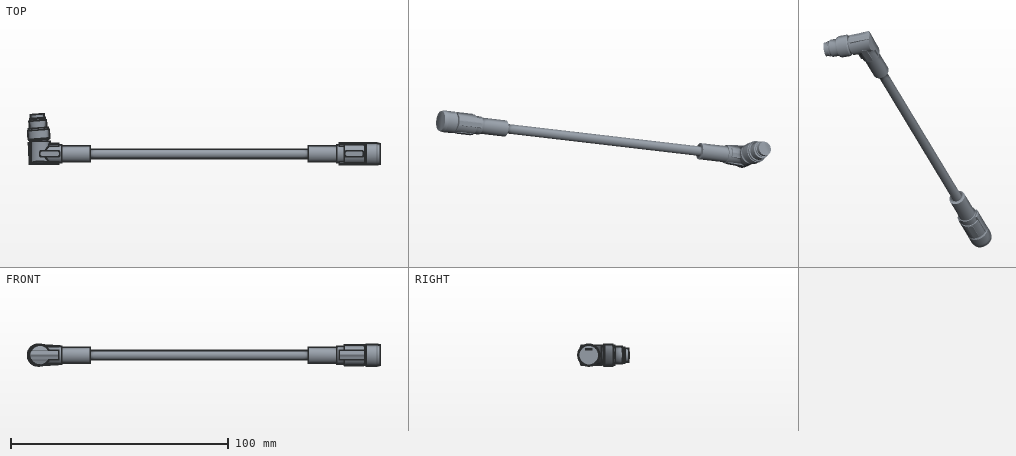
import cadquery as cq


cable_radius = 2.2
sleeve_radius = 3.75
sleeve_length = 13.2
collar_radius = 4.2
overall_reach = 5.0
neck_radius = 3.9
nut_chamfer = 0.5

rib_half_width = 2.2
crest_half_width = 0.2
pad_half_width = 1.35
pad_corner = 0.5

body_radius = 4.65
body_offset = 0.35
body_top = 5.8
plug_base = 6.0
underside_side_drop = 3.4
back_rib_top = 5.0
back_rib_top_height = 4.95
back_rib_bottom_height = 4.5
back_rib_flank = 0.5
angled_rib_end = 8.9
angled_rib_height = 4.8
angled_rib_edge_height = 4.3
angled_pad_start = 0.3
angled_pad_end = 9.4
angled_pad_heights = (4.8, 4.25)
collar_end = 10.3
upright_angle = 90
plug_tilt = 4.4
plug_root_depth = 1.0
plug_nut_start = 0.5
plug_nut_end = 5.0
plug_flange_radius = 4.6
plug_flange_end = 5.9
plug_shoulder_radius = 4.0
plug_shoulder_end = 9.3
plug_tip_radius = 3.2
plug_bead_radius = 3.65
plug_bead_start = 10.1
plug_bead_end = 10.5
plug_tip_end = 12.3

socket_end = 156.95
socket_sleeve_start = 123.7
socket_collar_start = socket_sleeve_start + sleeve_length
socket_rib_start = 137.9
socket_rib_edge_height = 4.45
socket_body_start = 140.2
socket_body_radius = 4.7
socket_pad_start = 140.6
socket_pad_end = 149.1
socket_pad_height = 4.8
socket_body_end = 149.6
socket_nut_start = 150.0
socket_nut_taper_end = 155.3
socket_face = 156.9
socket_face_radius = 4.65
key_half_width = 1.3
key_bottom = 2.6
key_top = 3.0
key_depth = 1.0


def turned(stations):
    """Solid of revolution about the X axis through (position, radius) stations."""
    first = stations[0][0]
    last = stations[-1][0]
    outline = [(first, 0)] + stations + [(last, 0)]
    return cq.Workplane("XY").polyline(outline).close().revolve(360, (0, 0, 0), (1, 0, 0))


def rod(start, end, radius):
    return turned([(start, radius), (end, radius)])


def roof_outline(edge, crest):
    """Rib cross-section points (outward height, Z): two long edges and a narrow flat crest."""
    return [
        (0, -rib_half_width),
        (edge, -rib_half_width),
        (crest, -crest_half_width),
        (crest, crest_half_width),
        (edge, rib_half_width),
        (0, rib_half_width),
    ]


def grip_rib(start, end, edge, crest):
    """Roof-shaped rib along X on the +Y flank."""
    outline = roof_outline(edge, crest)
    return cq.Workplane("YZ").workplane(offset=start).polyline(outline).close().extrude(end - start)


def grip_rib_pair(start, end, edge, crest):
    rib = grip_rib(start, end, edge, crest)
    return rib.union(rib.mirror("XZ"))


def grip_pads(start, end, start_height, end_height):
    """Flat-topped pads on the +Z and -Z flanks; the top may slope along X."""
    outline = [
        (start, -start_height),
        (end, -end_height),
        (end, end_height),
        (start, start_height),
    ]
    block = cq.Workplane("XZ").polyline(outline).close().extrude(pad_half_width, both=True)
    return block.edges("|Z").chamfer(pad_corner)


def angled_body():
    """Upright round body with a faceted, roof-shaped underside."""
    upright = (
        cq.Workplane("XZ", origin=(body_offset, body_top, 0))
        .circle(body_radius)
        .extrude(body_top + angled_rib_height)
    )
    underside = [
        (body_top, -body_radius),
        (-underside_side_drop, -body_radius),
        (-angled_rib_edge_height, -rib_half_width),
        (-angled_rib_height, -crest_half_width),
        (-angled_rib_height, crest_half_width),
        (-angled_rib_edge_height, rib_half_width),
        (-underside_side_drop, body_radius),
        (body_top, body_radius),
    ]
    envelope = cq.Workplane("YZ").polyline(underside).close().extrude(2 * body_radius, both=True)
    return upright.union(back_rib()).intersect(envelope)


def back_rib():
    """Roof-shaped rib up the -X side of the body; its crest leans outward toward the top."""
    top = roof_outline(back_rib_top_height - back_rib_flank, back_rib_top_height)
    bottom = roof_outline(back_rib_bottom_height - back_rib_flank, back_rib_bottom_height)
    return (
        cq.Workplane("XZ", origin=(0, back_rib_top, 0))
        .polyline(top)
        .close()
        .workplane(offset=back_rib_top + angled_rib_height)
        .polyline(bottom)
        .close()
        .loft(ruled=True)
        .mirror("YZ")
    )


def plug():
    """Stepped male plug with a coupling nut, tilted on top of the angled body."""
    stations = [
        (-plug_root_depth, neck_radius),
        (plug_nut_start, neck_radius),
        (plug_nut_start, overall_reach - nut_chamfer),
        (plug_nut_start + nut_chamfer, overall_reach),
        (plug_nut_end, overall_reach),
        (plug_nut_end, plug_flange_radius),
        (plug_flange_end, plug_flange_radius),
        (plug_flange_end, plug_shoulder_radius),
        (plug_shoulder_end, plug_shoulder_radius),
        (plug_shoulder_end, plug_tip_radius),
        (plug_bead_start, plug_tip_radius),
        (plug_bead_start, plug_bead_radius),
        (plug_bead_end, plug_bead_radius),
        (plug_bead_end, plug_tip_radius),
        (plug_tip_end, plug_tip_radius),
    ]
    return (
        turned(stations)
        .rotate((0, 0, 0), (0, 0, 1), upright_angle + plug_tilt)
        .translate((0, plug_base, 0))
    )


def angled_end():
    end = angled_body().union(rod(0, collar_end, collar_radius))
    end = end.union(grip_rib_pair(0, angled_rib_end, angled_rib_edge_height, angled_rib_height))
    end = end.union(grip_pads(angled_pad_start, angled_pad_end, *angled_pad_heights))
    return end.union(plug())


def socket_grip():
    grip = turned([
        (socket_collar_start, collar_radius),
        (socket_body_start, collar_radius),
        (socket_body_start, socket_body_radius),
        (socket_body_end, socket_body_radius),
    ])
    ribs = grip_rib_pair(socket_rib_start, socket_body_end, socket_rib_edge_height, overall_reach)
    pads = grip_pads(socket_pad_start, socket_pad_end, socket_pad_height, socket_pad_height)
    return grip.union(ribs).union(pads)


def socket_nut():
    nut = turned([
        (socket_body_end, neck_radius),
        (socket_nut_start, neck_radius),
        (socket_nut_start, overall_reach - nut_chamfer),
        (socket_nut_start + nut_chamfer, overall_reach),
        (socket_nut_taper_end, overall_reach),
        (socket_face, socket_face_radius),
    ])
    key = (
        cq.Workplane("XY")
        .box(key_depth, 2 * key_half_width, key_top - key_bottom, centered=(False, True, False))
        .translate((socket_end - key_depth, 0, key_bottom))
    )
    return nut.union(key)


cable = rod(0, socket_collar_start, cable_radius)
angled_sleeve = rod(collar_end, collar_end + sleeve_length, sleeve_radius)
socket_sleeve = rod(socket_sleeve_start, socket_collar_start, sleeve_radius)

result = cable.union(angled_sleeve).union(socket_sleeve)
result = result.union(angled_end()).union(socket_grip()).union(socket_nut())